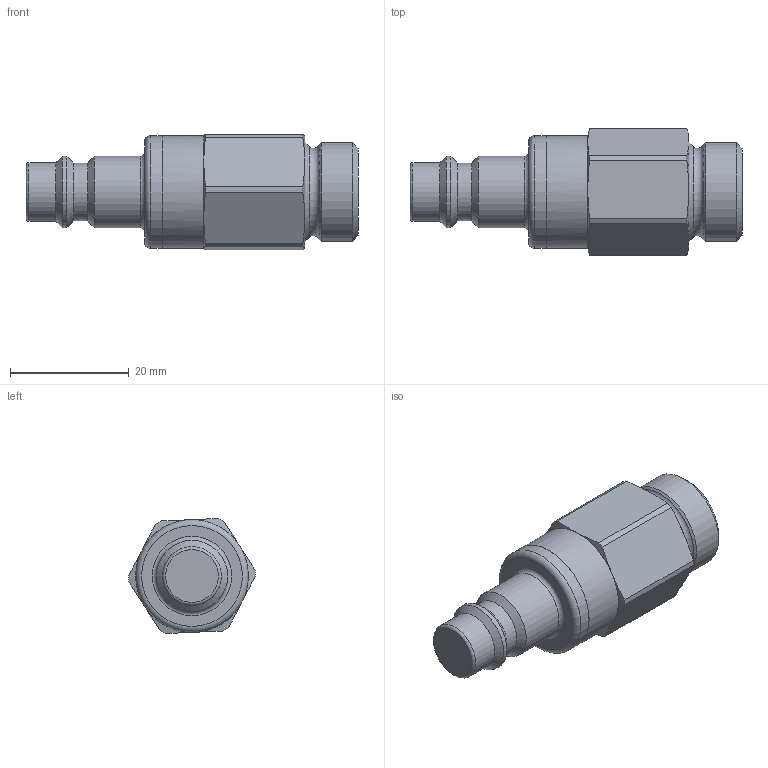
import cadquery as cq
import math


tip_diameter = 9.9
neck_diameter = 9.75
plug_diameter = 12.0
collar_diameter = 19.0
sleeve_diameter = 18.95
thread_diameter = 16.66
relief_edge_diameter = 15.3
thread_foot_diameter = 16.0

ring_start = 5.05
ring_land = 0.8
neck_length = 2.35
collar_start = 20.0
sleeve_start = 23.0
hex_start = 30.0
hex_end = 47.0
relief_flank_length = 0.8
total_length = 56.0

tip_fillet = 0.5
plug_root_fillet = 0.7
collar_fillet = 1.0
thread_chamfer = 0.95
relief_radius = 1.0

hex_across_flats = 19.0
hex_corner_diameter = 21.4
hex_tilt = 2.55
hex_bevel_length = 0.3


def arc_middle(center_x, center_r, radius, angle):
    """Point on an arc in the half profile, at an angle in degrees from +X."""
    a = math.radians(angle)
    return (center_x + radius * math.cos(a), center_r + radius * math.sin(a))


def turned_body():
    """Revolve the half profile of everything except the hexagon."""
    tip_r = tip_diameter / 2
    neck_r = neck_diameter / 2
    plug_r = plug_diameter / 2
    collar_r = collar_diameter / 2
    sleeve_r = sleeve_diameter / 2
    thread_r = thread_diameter / 2
    relief_r = relief_edge_diameter / 2

    ring_top_start = ring_start + plug_r - tip_r
    ring_top_end = ring_top_start + ring_land
    neck_start = ring_top_end + plug_r - neck_r
    neck_end = neck_start + neck_length
    plug_start = neck_end + plug_r - neck_r

    thread_foot_r = thread_foot_diameter / 2
    relief_floor_start = hex_end + relief_flank_length
    relief_offset = relief_radius * math.sin(math.pi / 4)
    relief_center_x = relief_floor_start + relief_offset
    relief_center_r = relief_r + relief_offset
    relief_bottom_r = relief_center_r - relief_radius
    relief_floor_end = relief_center_x + math.sqrt(
        relief_radius**2 - (relief_center_r - thread_foot_r) ** 2
    )
    flank_start_r = relief_r + relief_flank_length
    thread_start = relief_floor_end + thread_r - thread_foot_r

    tip_arc = arc_middle(tip_fillet, tip_r - tip_fillet, tip_fillet, 135)
    root_arc = arc_middle(
        collar_start - plug_root_fillet, plug_r + plug_root_fillet, plug_root_fillet, -45
    )
    collar_arc = arc_middle(
        collar_start + collar_fillet, collar_r - collar_fillet, collar_fillet, 135
    )

    profile = (
        cq.Workplane("XY")
        .moveTo(0, 0)
        .lineTo(0, tip_r - tip_fillet)
        .threePointArc(tip_arc, (tip_fillet, tip_r))
        .lineTo(ring_start, tip_r)
        .lineTo(ring_top_start, plug_r)
        .lineTo(ring_top_end, plug_r)
        .lineTo(neck_start, neck_r)
        .lineTo(neck_end, neck_r)
        .lineTo(plug_start, plug_r)
        .lineTo(collar_start - plug_root_fillet, plug_r)
        .threePointArc(root_arc, (collar_start, plug_r + plug_root_fillet))
        .lineTo(collar_start, collar_r - collar_fillet)
        .threePointArc(collar_arc, (collar_start + collar_fillet, collar_r))
        .lineTo(sleeve_start, collar_r)
        .lineTo(sleeve_start, sleeve_r)
        .lineTo(hex_end, sleeve_r)
        .lineTo(hex_end, flank_start_r)
        .lineTo(relief_floor_start, relief_r)
        .threePointArc((relief_center_x, relief_bottom_r), (relief_floor_end, thread_foot_r))
        .lineTo(thread_start, thread_r)
        .lineTo(total_length - thread_chamfer, thread_r)
        .lineTo(total_length, thread_r - thread_chamfer)
        .lineTo(total_length, 0)
        .close()
    )
    return profile.revolve(360, (0, 0, 0), (1, 0, 0))


def wrench_hexagon():
    """Hexagonal prism with turned corners and a conical bevel at both ends."""
    length = hex_end - hex_start
    corner_r = hex_corner_diameter / 2
    face_r = hex_across_flats / 2
    hex_across_corners = hex_across_flats / math.cos(math.pi / 6)
    prism = (
        cq.Workplane("YZ", origin=(hex_start, 0, 0))
        .polygon(6, hex_across_corners)
        .extrude(length)
        .rotate((0, 0, 0), (1, 0, 0), -hex_tilt)
    )
    envelope = (
        cq.Workplane("XY")
        .moveTo(hex_start, 0)
        .lineTo(hex_start, face_r)
        .lineTo(hex_start + hex_bevel_length, corner_r)
        .lineTo(hex_end - hex_bevel_length, corner_r)
        .lineTo(hex_end, face_r)
        .lineTo(hex_end, 0)
        .close()
        .revolve(360, (0, 0, 0), (1, 0, 0))
    )
    return prism.intersect(envelope)


result = turned_body().union(wrench_hexagon())